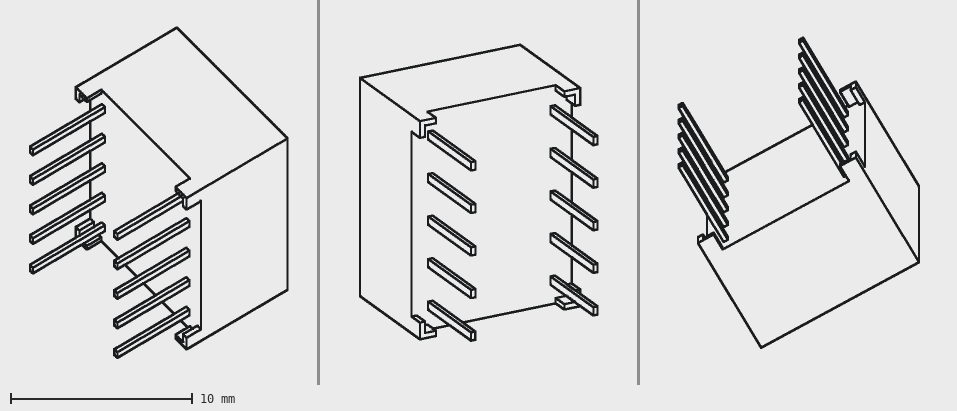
import cadquery as cq

HEIGHT = 13.0
WIDTH = 10.0
DEPTH = 6.0

FOOT_HEIGHT = 1.0
FOOT_LEG = 1.0
FOOT_WALL = 0.32

PIN_COLUMNS = 2
PIN_ROWS = 5
PIN_PITCH = 2.54
COLUMN_SPACING = 7.62
PIN_WIDTH = 0.27
PIN_THICKNESS = 0.5
TOTAL_DEPTH = 11.0
PIN_LENGTH = TOTAL_DEPTH - DEPTH


def make_housing():
    """Block with its pin face on the plane Y = 0, centred in X and Z."""
    return cq.Workplane("XY").box(WIDTH, DEPTH, HEIGHT, centered=(True, False, True))


def make_foot(side_x, side_z):
    """L-shaped foot flush with the outer corner on the given sides (+1 or -1)."""
    corner_x = side_x * WIDTH / 2
    corner_z = side_z * HEIGHT / 2
    leg_x = corner_x - side_x * FOOT_LEG
    leg_z = corner_z - side_z * FOOT_LEG
    inner_x = corner_x - side_x * FOOT_WALL
    inner_z = corner_z - side_z * FOOT_WALL
    outline = [
        (corner_x, corner_z),
        (leg_x, corner_z),
        (leg_x, inner_z),
        (inner_x, inner_z),
        (inner_x, leg_z),
        (corner_x, leg_z),
    ]
    return cq.Workplane("XZ").polyline(outline).close().extrude(FOOT_HEIGHT)


def make_pins():
    """All pins, running from the pin face toward -Y."""
    return (
        cq.Workplane("XZ")
        .rarray(COLUMN_SPACING, PIN_PITCH, PIN_COLUMNS, PIN_ROWS)
        .rect(PIN_WIDTH, PIN_THICKNESS)
        .extrude(PIN_LENGTH)
    )


result = make_housing().union(make_pins())
for side_x in (-1, 1):
    for side_z in (-1, 1):
        result = result.union(make_foot(side_x, side_z))